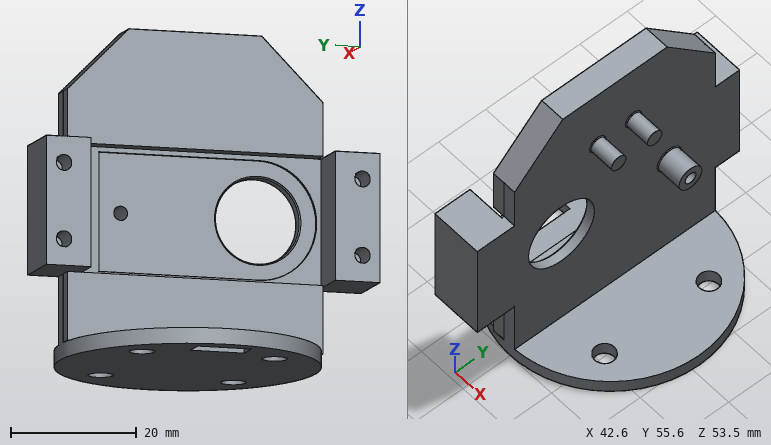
import cadquery as cq

base_diameter = 42.6
base_thickness = 2.55
mount_hole_diameter = 4.05
mount_hole_spacing = 22.15
slot_length_x = 3.85
slot_length_y = 8.95
slot_x = -16.45
slot_y = -0.4

total_height = 53.45
layer_thickness = 2.55
wall_rear_x = 1.0
wall_width = base_diameter
corner_chamfer = 10.25
layer_split_x = wall_rear_x - layer_thickness
wall_front_x = layer_split_x - layer_thickness

bar_length = 55.65
bar_height = 20.9
bar_center_y = -1.4
bar_center_z = 24.1
block_width = 7.45
block_depth = 4 * layer_thickness
screw_hole_diameter = 2.55
screw_hole_depth = 5.1
screw_spacing_y = 49.8
screw_spacing_z = 12.35

pocket_depth = 0.5
pocket_radius = 9.7
pocket_flat_end_y = 15.3
bore_y = -11.35
bore_diameter = 13.95
bore_rim_chamfer = 0.2

pin_length = 5.1
pin_root_chamfer = 0.15
hollow_pin_diameter = 4.85
hollow_pin_bore = 2.3
hollow_pin_y = 11.5
small_pin_diameter = 3.05
small_pin_spacing = 7.6
small_pin_center_y = 0.1
small_pin_z = 40.85


def box(x_min, x_max, center_y, width, z_min, z_max):
    """Box given by its X and Z limits and its centre and width in Y."""
    solid = cq.Workplane("XY").box(x_max - x_min, width, z_max - z_min, centered=(False, True, False))
    return solid.translate((x_min, center_y, z_min))


def rod(diameter, x_min, length, y, z):
    """Cylinder along +X, starting at x_min."""
    return cq.Workplane("YZ", origin=(x_min, y, z)).circle(diameter / 2).extrude(length)


def flare(diameter, x_min, chamfer, y, z):
    """Short 45-degree cone narrowing along +X to the given diameter."""
    cone = cq.Solid.makeCone(
        diameter / 2 + chamfer,
        diameter / 2,
        chamfer,
        pnt=cq.Vector(x_min, y, z),
        dir=cq.Vector(1, 0, 0),
    )
    return cq.Workplane(cone)


def make_base():
    base = cq.Workplane("XY").circle(base_diameter / 2).extrude(base_thickness)
    holes = (
        cq.Workplane("XY")
        .rect(mount_hole_spacing, mount_hole_spacing, forConstruction=True)
        .vertices()
        .circle(mount_hole_diameter / 2)
        .extrude(base_thickness)
    )
    slot = cq.Workplane("XY").center(slot_x, slot_y).rect(slot_length_x, slot_length_y).extrude(base_thickness)
    return base.cut(holes).cut(slot)


def make_wall():
    front_layer = box(wall_front_x, layer_split_x, 0, wall_width, base_thickness, total_height)
    rear_layer = box(layer_split_x, wall_rear_x, 0, wall_width, base_thickness, total_height)
    base_cylinder = cq.Workplane("XY").circle(base_diameter / 2).extrude(total_height)
    corner_edges = "|X and >Z"
    front_layer = front_layer.edges(corner_edges).chamfer(corner_chamfer)
    rear_layer = rear_layer.edges(corner_edges).chamfer(corner_chamfer)
    return front_layer.union(rear_layer.intersect(base_cylinder))


def add_crossbar(wall):
    z_min = bar_center_z - bar_height / 2
    z_max = bar_center_z + bar_height / 2
    block_front_x = wall_rear_x - block_depth
    channel = box(block_front_x, layer_split_x, bar_center_y, bar_length, z_min, z_max)
    bar = box(layer_split_x, wall_rear_x, bar_center_y, bar_length, z_min, z_max)
    body = wall.cut(channel).union(bar)
    for side in (-1, 1):
        block_y = bar_center_y + side * (bar_length - block_width) / 2
        body = body.union(box(block_front_x, wall_rear_x, block_y, block_width, z_min, z_max))
        for level in (-1, 1):
            screw_y = bar_center_y + side * screw_spacing_y / 2
            screw_z = bar_center_z + level * screw_spacing_z / 2
            body = body.cut(rod(screw_hole_diameter, block_front_x, screw_hole_depth, screw_y, screw_z))
    return body


def make_pocket():
    return (
        cq.Workplane("YZ", origin=(layer_split_x, 0, bar_center_z))
        .moveTo(pocket_flat_end_y, pocket_radius)
        .lineTo(bore_y, pocket_radius)
        .threePointArc((bore_y - pocket_radius, 0), (bore_y, -pocket_radius))
        .lineTo(pocket_flat_end_y, -pocket_radius)
        .close()
        .extrude(pocket_depth)
    )


def make_bore():
    """Through bore whose front rim, on the pocket floor, flares out by the chamfer."""
    bore = rod(bore_diameter, layer_split_x, layer_thickness, bore_y, bar_center_z)
    floor_x = layer_split_x + pocket_depth
    return bore.union(flare(bore_diameter, floor_x, bore_rim_chamfer, bore_y, bar_center_z))


def make_pin(diameter, y, z):
    """Pin on the rear face, widened by a small chamfer at its root."""
    pin = rod(diameter, wall_rear_x, pin_length, y, z)
    return pin.union(flare(diameter, wall_rear_x, pin_root_chamfer, y, z))


def add_pins(body):
    for side in (-1, 1):
        pin_y = small_pin_center_y + side * small_pin_spacing / 2
        body = body.union(make_pin(small_pin_diameter, pin_y, small_pin_z))
    body = body.union(make_pin(hollow_pin_diameter, hollow_pin_y, bar_center_z))
    pin_bore_length = layer_thickness + pin_length
    return body.cut(rod(hollow_pin_bore, layer_split_x, pin_bore_length, hollow_pin_y, bar_center_z))


upright = add_crossbar(make_wall()).cut(make_pocket()).cut(make_bore())
result = add_pins(make_base().union(upright))